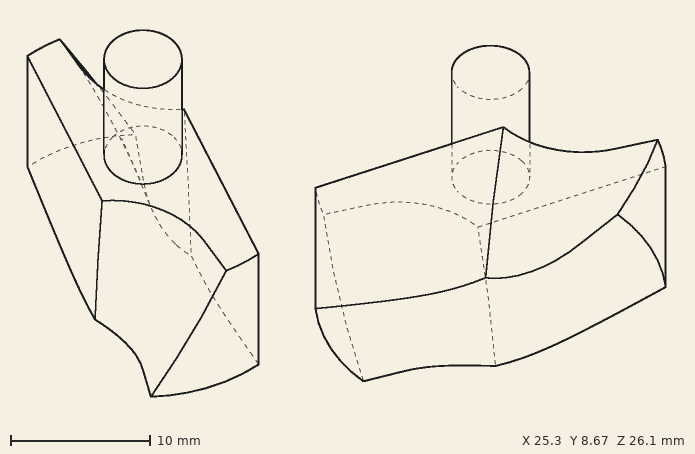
import cadquery as cq
import math

total_height = 26.1
blade_height = 15.75
blade_thickness = 8.67
blade_diameter = 25.3
cone_height = 3.75
shank_diameter = 5.6

flute_mouth_x = 3.05
flute_arc_end = (9.32, 1.12)
flute_arc_radius = 7.6
flute_flank_angle = 7.9
flute_outer_x = 18.27
flute_outer_y = -18.27
flute_twist_per_unit = 2.146
flute_count = 2

blade_radius = blade_diameter / 2
flute_twist = flute_twist_per_unit * blade_height


def make_blade():
    """Revolved blank with a conical tip, cut down to a flat slab."""
    blank = (
        cq.Workplane("XZ")
        .polyline([(0, 0), (blade_radius, cone_height), (blade_radius, blade_height), (0, blade_height)])
        .close()
        .revolve(360, (0, 0, 0), (0, 1, 0))
    )
    slab = cq.Workplane("XY").box(
        blade_diameter, blade_thickness, blade_height, centered=(True, True, False)
    )
    return blank.intersect(slab)


def make_flute():
    """Helical cutter: a round root running tangent into a straight flank."""
    end_x, end_y = flute_arc_end
    flank = math.radians(flute_flank_angle)
    center_x = end_x + flute_arc_radius * math.sin(flank)
    center_y = end_y - flute_arc_radius * math.cos(flank)

    mouth = (flute_mouth_x, -blade_thickness / 2)
    mouth_angle = math.atan2(mouth[1] - center_y, mouth[0] - center_x)
    middle_angle = (mouth_angle + math.pi / 2 + flank) / 2
    arc_middle = (
        center_x + flute_arc_radius * math.cos(middle_angle),
        center_y + flute_arc_radius * math.sin(middle_angle),
    )
    flank_outer_y = end_y + (flute_outer_x - end_x) * math.tan(flank)

    return (
        cq.Workplane("XY")
        .transformed(rotate=(0, 0, -flute_twist))
        .moveTo(*mouth)
        .threePointArc(arc_middle, flute_arc_end)
        .lineTo(flute_outer_x, flank_outer_y)
        .lineTo(flute_outer_x, flute_outer_y)
        .lineTo(flute_mouth_x, flute_outer_y)
        .close()
        .twistExtrude(blade_height, flute_twist)
    )


blade = make_blade()
flute = make_flute()
for index in range(flute_count):
    turn = index * 360 / flute_count
    blade = blade.cut(flute.rotate((0, 0, 0), (0, 0, 1), turn))

shank = (
    cq.Workplane("XY")
    .workplane(offset=blade_height)
    .circle(shank_diameter / 2)
    .extrude(total_height - blade_height)
)

result = blade.union(shank)